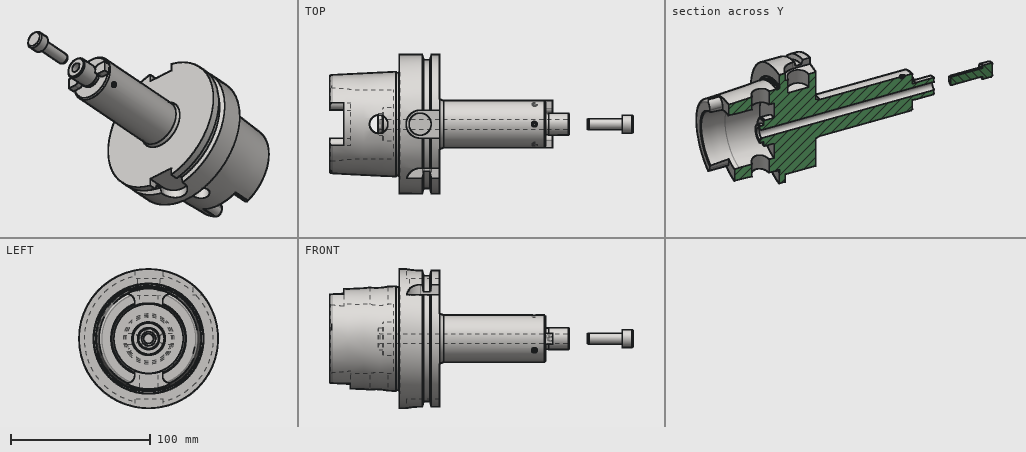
import cadquery as cq
import math

taper_length = 50.0
taper_big_radius = 37.7
taper_slope = 0.05
mouth_round = 1.7
relief_length = 2.5
relief_ramp = 0.5
relief_depth = 0.7
relief_radius = taper_big_radius - relief_depth
face_relief_depth = 0.5
face_relief_radius = 39.7
taper_end = taper_length - relief_length
taper_small_radius = taper_big_radius - taper_slope * taper_end

flange_radius = 49.99
flange_end = 79.0
groove_start, groove_end = 66.5, 73.0
groove_floor_start, groove_floor_end = 67.5, 72.0
groove_radius = 46.2

shank_radius = 17.0
shank_end = 155.0
shank_chamfer = 1.0
collar_radius = 18.0
collar_length = 2.8
neck_radius = 7.6
neck_end = 157.2
pilot_radius = 7.95
pilot_end = 172.0
pilot_chamfer = 0.9

cone_mouth_radius = 26.4
cavity_radius = 24.9
mouth_chamfer = 0.7
cone_end = 18.3
cavity_floor = 45.8

nut_radius = 12.0
nut_face = 37.7
nut_chamfer = 0.9
tube_radius = 7.8
tube_face = 34.5
tube_chamfer = 0.7
tube_mouth_radius = 5.0
tube_countersink = 1.5
bore_radius = 3.5

drive_slot_half_width = 10.0
drive_slot_depth_top = 10.0
drive_slot_depth_bottom = 14.8
drive_corner_radius = 5.2

access_hole_x = 35.3
access_hole_diameter = 13.0

flange_slot_radius = 10.0
flange_slot_x = 65.0
flange_slot_floor = 43.2
chip_hole_diameter = 16.0
chip_hole_depth = 12.0
notch_centre_y = -41.6
notch_floor = 31.5

key_width = 8.0
key_round_inset = 5.5
key_start = 154.5
key_end = 160.0

set_screw_count = 3
set_screw_x = 147.0
set_screw_diameter = 4.0
set_screw_recess = 0.7
socket_diameter = 2.0
socket_depth = 1.7

screw_start = 184.9
screw_end = 218.0
screw_radius = 4.03
screw_tip_radius = 3.5
screw_tip_length = 1.3
head_radius = 6.5
head_start = 210.0
head_chamfer = 1.0


def revolve_about_x(points):
    """Revolve a closed (x, radius) outline about the X axis."""
    return cq.Workplane("XY").polyline(points).close().revolve(360, (0, 0, 0), (1, 0, 0))


def outer_shape():
    body = revolve_about_x([
        (0, 0),
        (0, taper_small_radius),
        (taper_end, taper_big_radius),
        (taper_end + relief_ramp, relief_radius),
        (taper_length - face_relief_depth, relief_radius),
        (taper_length + face_relief_depth, relief_radius + 2 * face_relief_depth),
        (taper_length + face_relief_depth, face_relief_radius - face_relief_depth),
        (taper_length, face_relief_radius),
        (taper_length, flange_radius),
        (groove_start, flange_radius),
        (groove_floor_start, groove_radius),
        (groove_floor_end, groove_radius),
        (groove_end, flange_radius),
        (flange_end, flange_radius),
        (flange_end, collar_radius),
        (flange_end + collar_length, shank_radius),
        (shank_end - shank_chamfer, shank_radius),
        (shank_end, shank_radius - shank_chamfer),
        (shank_end, neck_radius),
        (neck_end, neck_radius),
        (neck_end, pilot_radius),
        (pilot_end - pilot_chamfer, pilot_radius),
        (pilot_end, pilot_radius - pilot_chamfer),
        (pilot_end, 0),
    ])
    return body.faces("<X").edges().fillet(mouth_round)


def cavity():
    """Space inside the taper, with the coolant nut and tube left standing in it."""
    return revolve_about_x([
        (0, 0),
        (0, cone_mouth_radius + mouth_chamfer),
        (mouth_chamfer, cone_mouth_radius),
        (cone_end, cavity_radius),
        (cavity_floor, cavity_radius),
        (cavity_floor, nut_radius),
        (nut_face + nut_chamfer, nut_radius),
        (nut_face, nut_radius - nut_chamfer),
        (nut_face, tube_radius),
        (tube_face + tube_chamfer, tube_radius),
        (tube_face, tube_radius - tube_chamfer),
        (tube_face, 0),
    ])


def through_bore():
    return revolve_about_x([
        (tube_face, 0),
        (tube_face, tube_mouth_radius),
        (tube_face + tube_countersink, bore_radius),
        (pilot_end, bore_radius),
        (pilot_end, 0),
    ])


def drive_slot(depth, side):
    """Slot across the taper mouth on the +Z (side=1) or -Z (side=-1) half, flared outwards."""
    flare_half_width = drive_slot_half_width + drive_corner_radius
    flare_z = math.sqrt(taper_small_radius ** 2 - flare_half_width ** 2)
    round_z = flare_z - drive_corner_radius
    arc_inset = drive_corner_radius * (1 - math.sqrt(0.5))
    return (
        cq.Workplane("YZ")
        .moveTo(-drive_slot_half_width, 0)
        .lineTo(-drive_slot_half_width, side * round_z)
        .threePointArc(
            (-drive_slot_half_width - arc_inset, side * (flare_z - arc_inset)),
            (-flare_half_width, side * flare_z),
        )
        .lineTo(-flare_half_width, side * taper_big_radius)
        .lineTo(flare_half_width, side * taper_big_radius)
        .lineTo(flare_half_width, side * flare_z)
        .threePointArc(
            (drive_slot_half_width + arc_inset, side * (flare_z - arc_inset)),
            (drive_slot_half_width, side * round_z),
        )
        .lineTo(drive_slot_half_width, 0)
        .close()
        .extrude(depth)
    )


def upright_hole(x, diameter, bottom, top):
    return cq.Workplane("XY", origin=(x, 0, bottom)).circle(diameter / 2).extrude(top - bottom)


def flange_slot(centre_y, floor):
    """Round-ended slot, open towards the shank, cut from its floor up past the flange rim."""
    height = flange_radius - floor
    base = cq.Workplane("XY", origin=(flange_slot_x, centre_y, floor))
    length = flange_end - flange_slot_x
    straight = base.center(length / 2, 0).rect(length, 2 * flange_slot_radius).extrude(height)
    round_end = (
        cq.Workplane("XY", origin=(flange_slot_x, centre_y, floor))
        .circle(flange_slot_radius)
        .extrude(height)
    )
    return straight.union(round_end)


def drive_key(side):
    """Key on the shank end face, rounded towards the pilot and flat at the shank surface."""
    round_centre = shank_radius - key_round_inset
    half = key_width / 2
    return (
        cq.Workplane("YZ", origin=(key_start, 0, 0))
        .moveTo(side * shank_radius, -half)
        .lineTo(side * round_centre, -half)
        .threePointArc((side * (round_centre - half), 0), (side * round_centre, half))
        .lineTo(side * shank_radius, half)
        .close()
        .extrude(key_end - key_start)
    )


def set_screw_hole():
    recess = upright_hole(set_screw_x, set_screw_diameter, shank_radius - set_screw_recess, shank_radius)
    socket = upright_hole(set_screw_x, socket_diameter, shank_radius - socket_depth, shank_radius)
    return recess.union(socket)


def make_holder():
    body = outer_shape().cut(cavity()).cut(through_bore())
    body = body.cut(drive_slot(drive_slot_depth_top, 1))
    body = body.cut(drive_slot(drive_slot_depth_bottom, -1))

    access_hole = upright_hole(access_hole_x, access_hole_diameter, cavity_radius - 2.2, taper_big_radius)
    body = body.cut(access_hole).cut(access_hole.mirror("XY"))

    top_slot = flange_slot(0, flange_slot_floor)
    body = body.cut(top_slot).cut(top_slot.mirror("XY"))
    chip_hole_floor = flange_slot_floor - chip_hole_depth
    body = body.cut(upright_hole(flange_slot_x, chip_hole_diameter, chip_hole_floor, flange_radius))
    body = body.cut(flange_slot(notch_centre_y, notch_floor))

    for side in (1, -1):
        body = body.union(drive_key(side))
    for index in range(set_screw_count):
        angle = index * 360 / set_screw_count
        body = body.cut(set_screw_hole().rotate((0, 0, 0), (1, 0, 0), angle))
    return body


def make_screw():
    return revolve_about_x([
        (screw_start, 0),
        (screw_start, screw_tip_radius),
        (screw_start + screw_tip_length, screw_radius),
        (head_start, screw_radius),
        (head_start, head_radius),
        (screw_end - head_chamfer, head_radius),
        (screw_end, head_radius - head_chamfer),
        (screw_end, 0),
    ])


holder = make_holder()
screw = make_screw()
result = cq.Compound.makeCompound([holder.solids().val(), screw.val()])